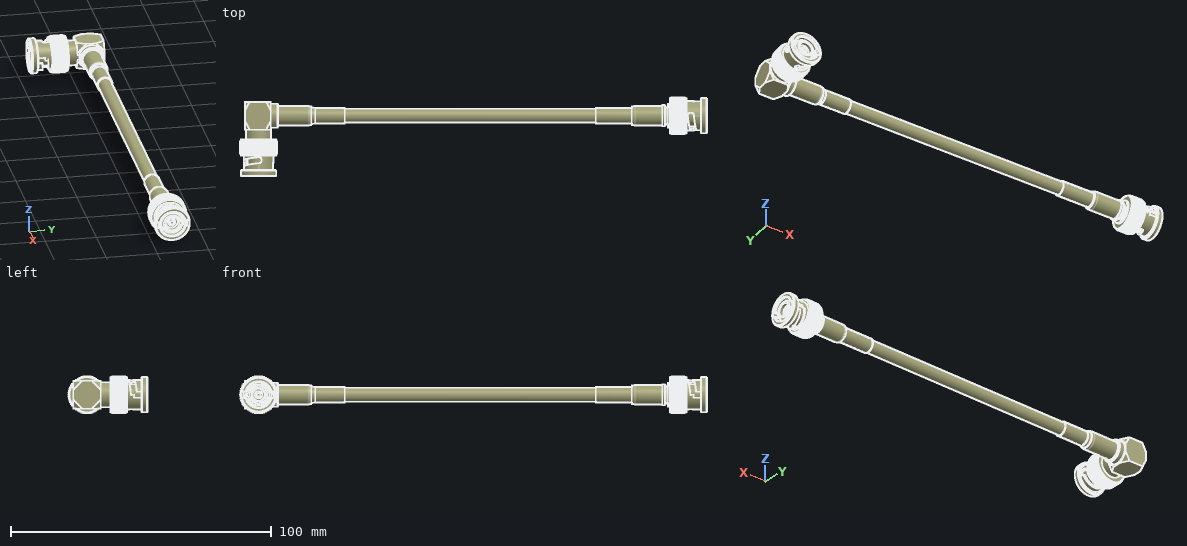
import cadquery as cq
import math


OVERALL_LENGTH = 179.2
KNURL_RADIUS = 7.2
FRONT_X = OVERALL_LENGTH - KNURL_RADIUS
ELBOW_FRONT_Y = -23.3

KNURL_LENGTH = 6.5
KNURL_TEETH = 60
KNURL_DEPTH = 0.45
KNURL_CHAMFER = 1.0
KNURL_CHAMFER_DROP = 0.45
SHELL_LENGTH = 5.4
SHELL_RADIUS = 5.7
FLANGE_LENGTH = 2.5
FLANGE_RADIUS = 6.8
FLANGE_CHAMFER = 0.4
FLANGE_START = KNURL_LENGTH + SHELL_LENGTH
NUT_LENGTH = FLANGE_START + FLANGE_LENGTH

SHELL_BORE_RADIUS = 4.8
MOUTH_CHAMFER = 0.4
SOCKET_FLOOR = 5.4
CONTACT_OUTER_RADIUS = 4.1
CONTACT_CHAMFER = 0.7
CONTACT_INNER_RADIUS = 2.7
CONTACT_END = 13.8
INSULATOR_RADIUS = 2.3
INSULATOR_BORE_RADIUS = 1.5
INSULATOR_END = 12.2
PIN_RADIUS = 0.7
PIN_END = 12.9

SLOT_WIDTH = 2.3
SLOT_COUNT = 2
DETENT_CENTRE = 8.0
ENTRY_CENTRE = 9.1

CABLE_RADIUS = 2.7
SLEEVE_RADIUS = 3.0
ELBOW_SLEEVE_SPAN = (21.7, 33.0)
STRAIGHT_SLEEVE_SPAN = (129.4, 143.2)

FERRULE_RADIUS = 3.8
FERRULE_END_RADIUS = 3.5
FERRULE_TAPER = 1.0

BLOCK_SIZE = 10.5
BLOCK_LENGTH_X = 10.0
CORNER_CUT_X = 1.8
CORNER_CUT = 3.4
NECK_RADIUS = 4.8
COLLAR_RADIUS = 4.7
COLLAR_END = 7.5
COLLAR_CHAMFER = 0.4
ELBOW_FERRULE_END = 20.2
TAIL_RADIUS = 3.2

STRAIGHT_NUT_START = FRONT_X - NUT_LENGTH
RIM_START = 154.8
RIM_END = 155.7
RIM_RADIUS = 4.1
RIM_CHAMFER = 0.5
STRAIGHT_NECK_RADIUS = 3.2
WASHER_START = 157.0
WASHER_RADIUS = 4.7


def rod(radius, start, end):
    """Cylinder along local Z from start to end."""
    return cq.Workplane("XY").workplane(offset=start).circle(radius).extrude(end - start)


def rod_x(radius, start, end):
    """Cylinder along X from start to end."""
    return cq.Workplane("YZ").workplane(offset=start).circle(radius).extrude(end - start)


def knurled_grip():
    """Grip ring with straight V teeth and chamfered ends."""
    points = []
    for i in range(2 * KNURL_TEETH):
        radius = KNURL_RADIUS - KNURL_DEPTH * (i % 2)
        angle = math.pi * i / KNURL_TEETH
        points.append((radius * math.cos(angle), radius * math.sin(angle)))
    teeth = cq.Workplane("XY").polyline(points).close().extrude(KNURL_LENGTH)
    end_radius = KNURL_RADIUS - KNURL_CHAMFER_DROP
    envelope = (
        cq.Workplane("XZ")
        .polyline([
            (0, 0),
            (end_radius, 0),
            (KNURL_RADIUS, KNURL_CHAMFER),
            (KNURL_RADIUS, KNURL_LENGTH - KNURL_CHAMFER),
            (end_radius, KNURL_LENGTH),
            (0, KNURL_LENGTH),
        ])
        .close()
        .revolve(360, (0, 0), (0, 1))
    )
    return teeth.intersect(envelope)


def bayonet_slot():
    """Cutter for one slot: detent on local +X, ramp over a quarter turn, entry on local +Y."""
    half = SLOT_WIDTH / 2
    detent = cq.Workplane("YZ").center(0, DETENT_CENTRE).circle(half).extrude(FLANGE_RADIUS)
    entry_length = NUT_LENGTH - ENTRY_CENTRE
    entry = cq.Workplane("XY").box(SLOT_WIDTH, SHELL_RADIUS, entry_length, centered=(True, False, False))
    entry = entry.translate((0, 0, ENTRY_CENTRE))
    reach = SHELL_RADIUS * math.sin(math.pi / 4)
    ramp = (
        cq.Workplane("YZ")
        .polyline([
            (-reach, DETENT_CENTRE - half),
            (reach, ENTRY_CENTRE - half),
            (reach, ENTRY_CENTRE + half),
            (-reach, DETENT_CENTRE + half),
        ])
        .close()
        .extrude(FLANGE_RADIUS)
        .rotate((0, 0, 0), (0, 0, 1), 45)
    )
    return detent.union(entry).union(ramp)


def coupling():
    """Mating end of a plug: knurled bayonet nut around the contact, facing local +Z."""
    flange = rod(FLANGE_RADIUS, FLANGE_START, NUT_LENGTH).edges().chamfer(FLANGE_CHAMFER)
    nut = knurled_grip().union(rod(SHELL_RADIUS, KNURL_LENGTH, NUT_LENGTH)).union(flange)
    nut = nut.cut(rod(SHELL_BORE_RADIUS, SOCKET_FLOOR, NUT_LENGTH))
    nut = nut.faces(">Z").edges(cq.selectors.RadiusNthSelector(0)).chamfer(MOUTH_CHAMFER)
    for i in range(SLOT_COUNT):
        nut = nut.cut(bayonet_slot().rotate((0, 0, 0), (0, 0, 1), 360 * i / SLOT_COUNT))
    contact = rod(CONTACT_OUTER_RADIUS, SOCKET_FLOOR, CONTACT_END).edges(">Z").chamfer(CONTACT_CHAMFER)
    contact = contact.cut(rod(CONTACT_INNER_RADIUS, SOCKET_FLOOR, CONTACT_END))
    insulator = rod(INSULATOR_RADIUS, SOCKET_FLOOR, INSULATOR_END)
    insulator = insulator.cut(rod(INSULATOR_BORE_RADIUS, SOCKET_FLOOR, INSULATOR_END))
    pin = rod(PIN_RADIUS, SOCKET_FLOOR, PIN_END)
    return nut.union(contact).union(insulator).union(pin)


def placed_coupling(origin, forward):
    """Coupling with its rear face at origin, facing forward, detents at +Z and -Z."""
    frame = cq.Plane(origin=origin, xDir=(0, 0, 1), normal=forward)
    return cq.Workplane(coupling().val().moved(frame.location))


def corner_wedge(corner, sx, sy, sz):
    """Tetrahedron that removes one corner of the block; the signs point outward."""
    along_x = corner - cq.Vector(sx * CORNER_CUT_X, 0, 0)
    along_y = corner - cq.Vector(0, sy * CORNER_CUT, 0)
    along_z = corner - cq.Vector(0, 0, sz * CORNER_CUT)
    triangles = [
        (along_x, along_y, along_z),
        (corner, along_x, along_y),
        (corner, along_y, along_z),
        (corner, along_z, along_x),
    ]
    faces = [cq.Face.makeFromWires(cq.Wire.makePolygon(points, close=True)) for points in triangles]
    return cq.Workplane(cq.Solid.makeSolid(cq.Shell.makeShell(faces)))


def elbow_block():
    """Block at the bend with its eight corners cut off, a little shorter on the cable side."""
    half = BLOCK_SIZE / 2
    centre_x = BLOCK_LENGTH_X / 2 - half
    block = cq.Workplane("XY").box(BLOCK_LENGTH_X, BLOCK_SIZE, BLOCK_SIZE)
    signs = (-1, 1)
    for sx, sy, sz in [(x, y, z) for x in signs for y in signs for z in signs]:
        corner = cq.Vector(sx * BLOCK_LENGTH_X / 2, sy * half, sz * half)
        block = block.cut(corner_wedge(corner, sx, sy, sz))
    return block.translate((centre_x, 0, 0))


def revolved_x(points):
    """Solid turned about the X axis from an outline of (x, radius) points."""
    return cq.Workplane("XY").polyline(points).close().revolve(360, (0, 0), (1, 0))


def elbow_plug():
    """Right-angle plug: block, neck and coupling along -Y, collar and ferrule along +X."""
    tail_end = ELBOW_SLEEVE_SPAN[0]
    arm = revolved_x([
        (0, 0),
        (tail_end, 0),
        (tail_end, SLEEVE_RADIUS),
        (ELBOW_FERRULE_END, TAIL_RADIUS),
        (ELBOW_FERRULE_END, FERRULE_END_RADIUS),
        (ELBOW_FERRULE_END - FERRULE_TAPER, FERRULE_RADIUS),
        (COLLAR_END, FERRULE_RADIUS),
        (COLLAR_END, COLLAR_RADIUS - COLLAR_CHAMFER),
        (COLLAR_END - COLLAR_CHAMFER, COLLAR_RADIUS),
        (0, COLLAR_RADIUS),
    ])
    nut_rear_y = ELBOW_FRONT_Y + NUT_LENGTH
    neck = cq.Workplane("XZ").circle(NECK_RADIUS).extrude(-nut_rear_y)
    nut = placed_coupling((0, nut_rear_y, 0), (0, -1, 0))
    return elbow_block().union(arm).union(neck).union(nut)


def straight_plug():
    """Straight plug: ferrule, rim, neck and washer, then the coupling along +X."""
    ferrule_start = STRAIGHT_SLEEVE_SPAN[1]
    body = revolved_x([
        (ferrule_start, 0),
        (ferrule_start, FERRULE_END_RADIUS),
        (ferrule_start + FERRULE_TAPER, FERRULE_RADIUS),
        (RIM_START, FERRULE_RADIUS),
        (RIM_START, RIM_RADIUS),
        (RIM_END, RIM_RADIUS),
        (RIM_END + RIM_CHAMFER, RIM_RADIUS - RIM_CHAMFER),
        (RIM_END + RIM_CHAMFER, STRAIGHT_NECK_RADIUS),
        (WASHER_START, STRAIGHT_NECK_RADIUS),
        (WASHER_START, WASHER_RADIUS),
        (STRAIGHT_NUT_START, WASHER_RADIUS),
        (STRAIGHT_NUT_START, 0),
    ])
    return body.union(placed_coupling((STRAIGHT_NUT_START, 0, 0), (1, 0, 0)))


def sleeve(start, end):
    """Strain-relief tube fitting closely around the cable."""
    return rod_x(SLEEVE_RADIUS, start, end).cut(rod_x(CABLE_RADIUS, start, end))


elbow = elbow_plug()
straight = straight_plug()
cable = rod_x(CABLE_RADIUS, ELBOW_SLEEVE_SPAN[0], STRAIGHT_SLEEVE_SPAN[1])
sleeves = [sleeve(*span) for span in (ELBOW_SLEEVE_SPAN, STRAIGHT_SLEEVE_SPAN)]

result = cq.Compound.makeCompound([
    elbow.val(),
    straight.val(),
    cable.val(),
    *[tube.val() for tube in sleeves],
])